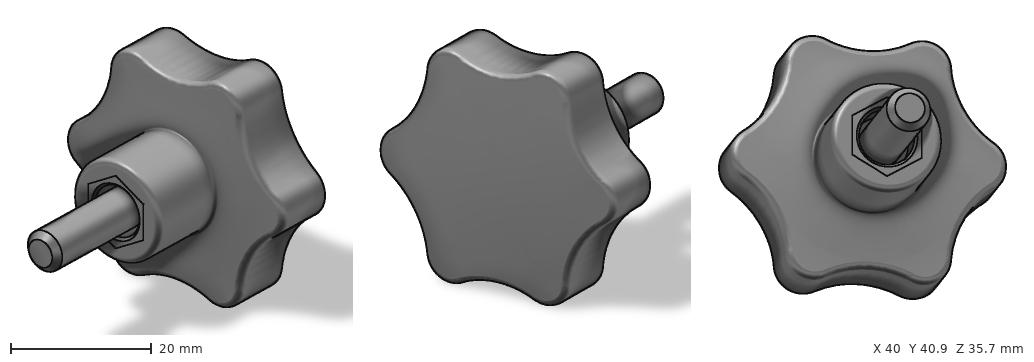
import cadquery as cq
import math

total_length = 40.9
boss_end_y = -24.0
grip_front_y = -10.87

lobe_count = 6
lobe_center_radius = 15.9
lobe_radius = 4.1
valley_radius = 14.0
dome_radius = 223.6
flare_radius = 169.25
blank_radius = 22.5
edge_fillet = 1.0

boss_radius = 16.0 / 2
boss_root_fillet = 0.5

hex_sides = 6
hex_across_flats = 10.0
insert_length = 15.0
stud_radius = 6.35 / 2
stud_tip_chamfer = 1.02
recess_radius = 8.0 / 2
recess_depth = 5.0
recess_chamfer = 0.4


def polar(radius, angle):
    return (radius * math.cos(angle), radius * math.sin(angle))


def lobed_outline():
    """Closed XZ outline of convex lobes joined by tangent concave valleys."""
    half_pitch = math.pi / lobe_count
    valley_center_radius = lobe_center_radius * math.cos(half_pitch) + math.sqrt(
        (lobe_radius + valley_radius) ** 2 - (lobe_center_radius * math.sin(half_pitch)) ** 2
    )
    share = lobe_radius / (lobe_radius + valley_radius)
    valley_x, valley_z = polar(valley_center_radius, half_pitch)
    tangent_x = lobe_center_radius + share * (valley_x - lobe_center_radius)
    tangent_z = share * valley_z
    tangent_distance = math.hypot(tangent_x, tangent_z)
    tangent_angle = math.atan2(tangent_z, tangent_x)

    outline = cq.Workplane("XZ").moveTo(*polar(tangent_distance, -tangent_angle))
    for index in range(lobe_count):
        lobe_angle = 2 * half_pitch * index
        outline = outline.threePointArc(
            polar(lobe_center_radius + lobe_radius, lobe_angle),
            polar(tangent_distance, lobe_angle + tangent_angle),
        ).threePointArc(
            polar(valley_center_radius - valley_radius, lobe_angle + half_pitch),
            polar(tangent_distance, lobe_angle + 2 * half_pitch - tangent_angle),
        )
    return outline.close()


def dome_y(radius):
    return math.sqrt(dome_radius**2 - radius**2) - dome_radius


def flare_y(radius):
    rise = flare_radius - math.sqrt(flare_radius**2 - (blank_radius - radius) ** 2)
    return grip_front_y - rise


def turned_blank():
    """Round blank with a domed back, a flared front and the boss."""
    dome_middle = blank_radius / 2
    flare_middle = (blank_radius + boss_radius) / 2
    blank = (
        cq.Workplane("XY")
        .moveTo(0, 0)
        .threePointArc((dome_middle, dome_y(dome_middle)), (blank_radius, dome_y(blank_radius)))
        .lineTo(blank_radius, grip_front_y)
        .threePointArc((flare_middle, flare_y(flare_middle)), (boss_radius, flare_y(boss_radius)))
        .lineTo(boss_radius, boss_end_y)
        .lineTo(0, boss_end_y)
        .close()
        .revolve(360, (0, 0, 0), (0, 1, 0))
    )
    blank = blank.faces("<Y").edges().fillet(edge_fillet)
    root_y = flare_y(boss_radius)
    root_band = cq.selectors.BoxSelector(
        (-blank_radius, root_y - boss_root_fillet, -blank_radius),
        (blank_radius, root_y + boss_root_fillet, blank_radius),
    )
    blank = blank.edges("%CIRCLE").edges(root_band).fillet(boss_root_fillet)
    return blank.rotate((0, 0, 0), (0, 1, 0), -90)


def make_knob():
    """Blank trimmed to the lobed outline, with rounded rims and a pocket for the insert."""
    knob = turned_blank().intersect(lobed_outline().extrude(-boss_end_y))
    rim_edges = knob.edges("not |Y").filter(
        lambda edge: math.hypot(edge.Center().x, edge.Center().z) > lobe_center_radius - lobe_radius
    )
    return rim_edges.fillet(edge_fillet).cut(hexagonal_prism())


def hexagonal_prism():
    """Body of the insert, flush with the boss end and with corners toward +Z and -Z."""
    half_side_angle = math.pi / hex_sides
    corner_radius = hex_across_flats / 2 / math.cos(half_side_angle)
    corners = [polar(corner_radius, half_side_angle * (2 * index + 1)) for index in range(hex_sides)]
    return (
        cq.Workplane("XZ", origin=(0, boss_end_y, 0))
        .polyline(corners)
        .close()
        .extrude(-insert_length)
    )


def make_insert():
    """Hexagonal insert and its stud, with an annular recess around the stud."""
    recess = (
        cq.Workplane("XZ", origin=(0, boss_end_y, 0))
        .circle(recess_radius)
        .extrude(-recess_depth)
    )
    hexagon = hexagonal_prism().cut(recess).faces("<Y").edges("%CIRCLE").chamfer(recess_chamfer)
    stud_base_y = boss_end_y + recess_depth
    stud = (
        cq.Workplane("XZ", origin=(0, stud_base_y, 0))
        .circle(stud_radius)
        .extrude(total_length + stud_base_y)
        .faces("<Y")
        .chamfer(stud_tip_chamfer)
    )
    return hexagon.union(stud)


knob = make_knob()
insert = make_insert()
result = cq.Compound.makeCompound([knob.val(), insert.val()])